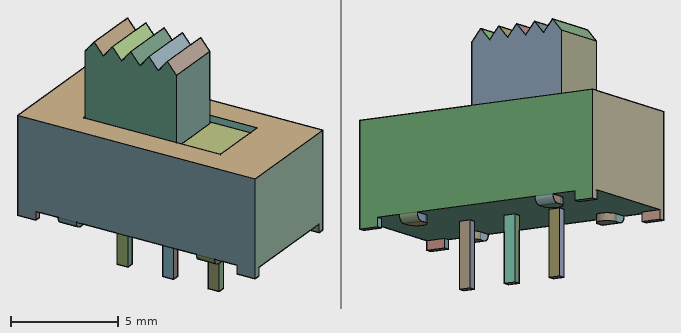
import cadquery as cq

length = 13.0
width = 6.1
total_height = 12.0
skirt_height = 4.75
sheet = 0.35

foot_length = 1.0
foot_height = 0.45

slider_length = 5.0
slider_width = 3.0
slider_height = 4.0
tooth_count = 5
tooth_height = 0.6

slot_length = 7.5
slot_width = 3.3
slot_depth = sheet

pin_pitch = 2.5
pin_length_x = 0.6
pin_length_y = 0.39

tab_width = 1.0
tab_reach = 1.2
tab_thickness = 0.38
tab_offset = 3.78

underside = -skirt_height
pin_bottom = slider_height - total_height
slot_left = -slot_length / 2


def make_housing():
    """Solid housing with a shallow slot in its top face."""
    body = cq.Workplane("XY").box(length, width, skirt_height, centered=(True, True, False))
    body = body.translate((0, 0, underside))
    slot = cq.Workplane("XY").box(slot_length, slot_width, slot_depth, centered=(True, True, False))
    return body.cut(slot.translate((0, 0, -slot_depth)))


def make_feet():
    """Four feet continuing the side walls downward at the corners."""
    return (
        cq.Workplane("XY", origin=(0, 0, underside))
        .rect(length - foot_length, width - sheet, forConstruction=True)
        .vertices()
        .rect(foot_length, sheet)
        .extrude(-foot_height)
    )


def make_slider():
    """Slider block with a sawtooth grip, reaching down to the slot floor."""
    pitch = slider_length / tooth_count
    valley = slider_height - tooth_height
    outline = [(slot_left, -slot_depth), (slot_left, valley)]
    for i in range(tooth_count):
        outline.append((slot_left + (i + 0.5) * pitch, slider_height))
        outline.append((slot_left + (i + 1) * pitch, valley))
    outline.append((slot_left + slider_length, -slot_depth))
    return cq.Workplane("XZ").polyline(outline).close().extrude(slider_width / 2, both=True)


def make_pins():
    """Row of three rectangular terminals along X."""
    return (
        cq.Workplane("XY", origin=(0, 0, underside))
        .rarray(pin_pitch, 0.13, 3, 1)
        .rect(pin_length_x, pin_length_y)
        .extrude(pin_bottom - underside)
    )


def make_tab(x):
    """Tab at the -Y wall: rounded bend on the outside, semicircular tip pointing inward."""
    outer_edge = -width / 2
    straight = tab_reach - tab_width / 2
    tab = (
        cq.Workplane("XY", origin=(x, outer_edge, underside))
        .moveTo(-tab_width / 2, 0)
        .lineTo(-tab_width / 2, straight)
        .threePointArc((0, tab_reach), (tab_width / 2, straight))
        .lineTo(tab_width / 2, 0)
        .close()
        .extrude(-tab_thickness)
    )
    bend = (
        cq.Workplane("YZ", origin=(x, outer_edge, underside))
        .moveTo(tab_thickness, 0)
        .circle(tab_thickness)
        .extrude(tab_width / 2, both=True)
    )
    inner_part = cq.Workplane("XY").box(tab_width, tab_reach, 2 * tab_thickness, centered=(True, False, True))
    inner_part = inner_part.translate((x, outer_edge + tab_thickness, underside))
    return tab.intersect(bend.union(inner_part))


result = make_housing().union(make_feet()).union(make_slider()).union(make_pins())
for tab_x in (-tab_offset, tab_offset):
    near_tab = make_tab(tab_x)
    result = result.union(near_tab).union(near_tab.mirror("XZ"))